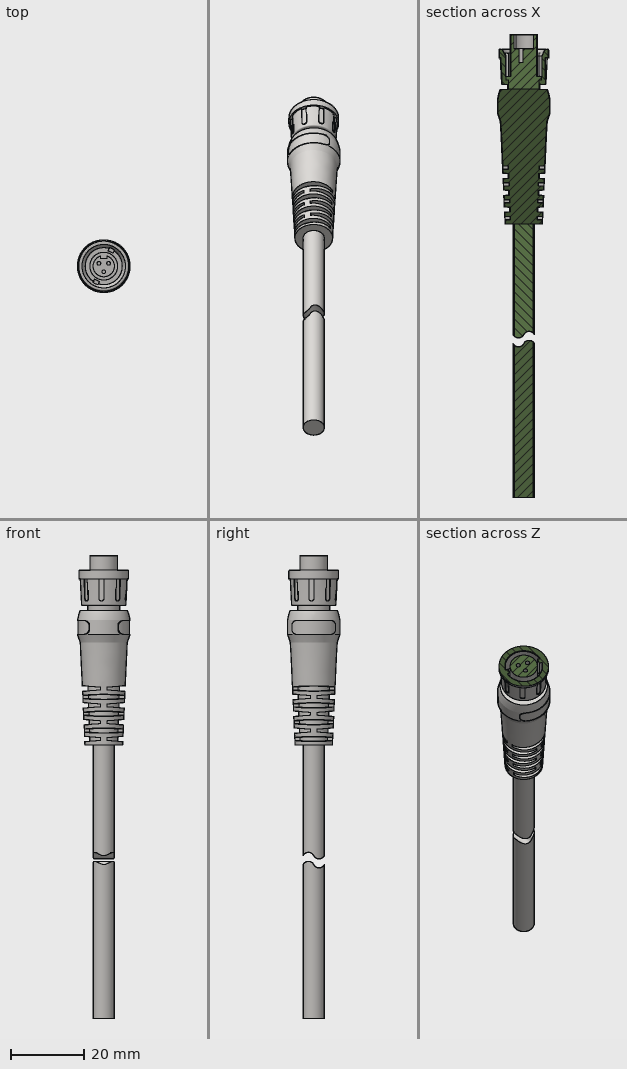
import cadquery as cq


insert_top = 126.2
insert_radius = 3.8
insert_bore_radius = 2.9
insert_bore_depth = 3.8
neck_radius = 4.4
flange_top = 114.9
key_width = 1.8
key_face = 2.1
contact_hole_radius = 0.5
contact_hole_depth = 3.8
contact_circle_radius = 1.5
contact_angles = (30, 150, 270)

nut_top = 122.3
nut_bottom = 112.6
nut_floor = 113.9
collar_bottom = 119.9
collar_radius = 6.8
collar_fillet = 0.4
nut_body_radius = 6.5
nut_foot_radius = 6.0
nut_foot_fillet = 0.4
nut_bore_radius = 5.0
nut_mouth_radius = 5.9
mouth_cone_depth = 1.9
nut_turn = 16.5
groove_count = 8
groove_width = 1.4
groove_depth = 0.5
groove_bottom = 113.9
lug_width = 1.5
lug_height = 0.8
lug_top = 121.2
lug_root_radius = 5.3
lug_angles = (48, 228)

grip_top = 111.3
grip_radius = 7.2
shoulder_radius = 6.5
shoulder_middle_radius = 7.0
band_top = 108.6
band_bottom = 104.8
sleeve_top = 102.5
sleeve_top_radius = 6.5
sleeve_bottom = 91.9
sleeve_bottom_radius = 5.9
pad_width = 11.9
pad_corner = 1.3
pad_recess = 0.1

relief_bottom = 74.6
relief_bottom_radius = 5.2
core_top_radius = 4.4
core_bottom_radius = 3.8
slot_outer_height = 1.5
slot_inner_height = 0.8
first_slot_middle = 90.0
last_slot_middle = 76.2
slot_count = 7
slot_pitch = (first_slot_middle - last_slot_middle) / (slot_count - 1)
web_width = 1.8

cable_radius = 2.9
upper_break = 44.4
lower_break = 42.0
wave_height = 0.9


def disc(radius, bottom, top):
    return cq.Workplane("XY").workplane(offset=bottom).circle(radius).extrude(top - bottom)


def cone(bottom_radius, bottom, top_radius, top):
    points = [(0, bottom), (bottom_radius, bottom), (top_radius, top), (0, top)]
    return cq.Workplane("XZ").polyline(points).close().revolve(360, (0, 0), (0, 1))


def turned(shape, angle):
    return shape.rotate((0, 0, 0), (0, 0, 1), angle)


def make_insert():
    body = disc(neck_radius, grip_top, nut_floor)
    body = body.union(disc(nut_bore_radius, nut_floor, flange_top))
    body = body.union(disc(insert_radius, flange_top, insert_top))
    face = insert_top - insert_bore_depth
    key = cq.Workplane("XY").box(key_width, insert_radius, insert_bore_depth, centered=(True, False, False))
    key = key.translate((0, key_face, face))
    body = body.cut(disc(insert_bore_radius, face, insert_top).cut(key))
    hole = disc(contact_hole_radius, face - contact_hole_depth, face).translate((contact_circle_radius, 0, 0))
    for angle in contact_angles:
        body = body.cut(turned(hole, angle))
    return body


def make_groove():
    half_width = groove_width / 2
    floor_radius = nut_body_radius - groove_depth
    return (
        cq.Workplane("YZ")
        .workplane(offset=floor_radius)
        .moveTo(-half_width, collar_bottom)
        .lineTo(-half_width, groove_bottom + half_width)
        .threePointArc((0, groove_bottom), (half_width, groove_bottom + half_width))
        .lineTo(half_width, collar_bottom)
        .close()
        .extrude(collar_radius - floor_radius)
    )


def make_lug():
    lug = (
        cq.Workplane("XY")
        .box(lug_root_radius, lug_width, lug_top - flange_top, centered=(False, True, False))
        .translate((nut_bore_radius - lug_height, 0, flange_top))
    )
    return lug.intersect(disc(lug_root_radius, flange_top, lug_top))


def make_nut():
    body = cone(nut_foot_radius, nut_bottom, nut_body_radius, collar_bottom)
    body = body.faces("<Z").edges().fillet(nut_foot_fillet)
    groove = make_groove()
    for i in range(groove_count):
        body = body.cut(turned(groove, (i + 0.5) * 360 / groove_count))
    collar = disc(collar_radius, collar_bottom, nut_top)
    body = body.union(collar.faces(">Z").edges().fillet(collar_fillet))
    body = body.cut(disc(neck_radius, nut_bottom, nut_floor))
    body = body.cut(disc(nut_bore_radius, nut_floor, nut_top))
    body = body.cut(cone(nut_bore_radius, nut_top - mouth_cone_depth, nut_mouth_radius, nut_top))
    lug = make_lug()
    for angle in lug_angles:
        body = body.union(turned(lug, angle))
    return turned(body, nut_turn)


def make_overmold_blank():
    shoulder_middle = (band_top + grip_top) / 2
    return (
        cq.Workplane("XZ")
        .moveTo(0, relief_bottom)
        .lineTo(relief_bottom_radius, relief_bottom)
        .lineTo(sleeve_bottom_radius, sleeve_bottom)
        .lineTo(sleeve_top_radius, sleeve_top)
        .lineTo(grip_radius, band_bottom)
        .lineTo(grip_radius, band_top)
        .threePointArc((shoulder_middle_radius, shoulder_middle), (shoulder_radius, grip_top))
        .lineTo(0, grip_top)
        .close()
        .revolve(360, (0, 0), (0, 1))
    )


def make_slot_pair(middle):
    share = (middle - relief_bottom) / (sleeve_bottom - relief_bottom)
    core_radius = core_bottom_radius + share * (core_top_radius - core_bottom_radius)
    inner, outer = slot_inner_height / 2, slot_outer_height / 2
    web_side, rim = web_width / 2, sleeve_bottom_radius
    corners = [
        (web_side, middle - inner),
        (rim, middle - outer),
        (rim, middle + outer),
        (web_side, middle + inner),
    ]
    slot = cq.Workplane("XZ").polyline(corners).close().extrude(rim, both=True)
    core = disc(core_radius, middle - outer, middle + outer)
    return slot.union(slot.mirror("YZ")).cut(core)


def make_pad():
    pad = cq.Workplane("XY").box(grip_radius, pad_width, band_top - band_bottom)
    pad = pad.edges("|X").fillet(pad_corner)
    pad = pad.translate((grip_radius, 0, (band_top + band_bottom) / 2))
    return pad.cut(disc(grip_radius - pad_recess, band_bottom, band_top))


def make_overmold():
    body = make_overmold_blank()
    for i in range(slot_count):
        slots = make_slot_pair(first_slot_middle - i * slot_pitch)
        body = body.cut(turned(slots, 90 * (i % 2)))
    pad = make_pad()
    for angle in (0, 180):
        body = body.cut(turned(pad, angle))
    return body


def below_wave(level):
    radius = cable_radius
    return (
        cq.Workplane("YZ")
        .moveTo(radius, 0)
        .lineTo(radius, level)
        .threePointArc((radius / 2, level - wave_height), (0, level))
        .threePointArc((-radius / 2, level + wave_height), (-radius, level))
        .lineTo(-radius, 0)
        .close()
        .extrude(radius, both=True)
    )


def make_upper_cable():
    return disc(cable_radius, 0, relief_bottom).cut(below_wave(upper_break))


def make_lower_cable():
    return disc(cable_radius, 0, relief_bottom).intersect(below_wave(lower_break))


insert = make_insert()
nut = make_nut()
overmold = make_overmold()
upper_cable = make_upper_cable()
lower_cable = make_lower_cable()

result = cq.Compound.makeCompound(
    [insert.val(), nut.val(), overmold.val(), upper_cable.val(), lower_cable.val()]
)